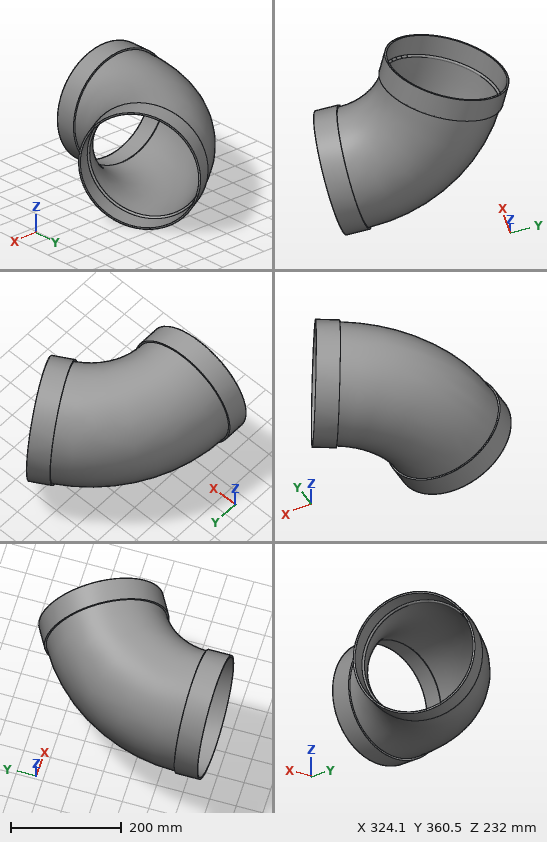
import cadquery as cq
import math

bend_angle = 60.0
socket_diameter = 232.0
pipe_diameter = 225.0
pipe_bore = 217.8
overall_length = 360.5

bend_radius = pipe_diameter

stop_round = (pipe_diameter - pipe_bore) / 2

angle = math.radians(bend_angle)
bend_rise = bend_radius * math.sin(angle)
rim_rise = socket_diameter / 2 * math.sin(angle)
socket_length = (overall_length - bend_rise - rim_rise) / (1 + math.cos(angle))

bend_end = (bend_radius * (1 - math.cos(angle)), bend_rise, 0)
inlet_plane = cq.Plane(origin=(0, 0, 0), xDir=(1, 0, 0), normal=(0, -1, 0))
outlet_plane = cq.Plane(
    origin=bend_end, xDir=(0, 0, 1), normal=(math.sin(angle), math.cos(angle), 0)
)


def bend(diameter):
    """Solid round bar swept about the vertical axis through the bend centre."""
    return (
        cq.Workplane("XZ")
        .circle(diameter / 2)
        .revolve(bend_angle, (bend_radius, 3.5, 0), (bend_radius, 0, 0))
    )


def socket_body(plane):
    """Solid bar running outwards from one end of the bend."""
    return cq.Workplane(plane).circle(socket_diameter / 2).extrude(socket_length)


def socket_cavity(plane):
    """Socket bore ending at a rounded stop, which leads into the pipe bore."""
    bore_radius = pipe_bore / 2
    socket_bore_radius = pipe_diameter / 2
    round_middle = (
        socket_bore_radius - stop_round * math.sqrt(0.5),
        stop_round * math.sqrt(0.5),
    )
    axial_plane = cq.Plane(origin=plane.origin, xDir=plane.xDir, normal=plane.xDir.cross(plane.zDir))
    return (
        cq.Workplane(axial_plane)
        .lineTo(bore_radius, 0)
        .threePointArc(round_middle, (socket_bore_radius, stop_round))
        .lineTo(socket_bore_radius, socket_length)
        .lineTo(0, socket_length)
        .close()
        .revolve(360, (0, 0, 0), (0, 1, 0))
    )


result = bend(pipe_diameter)
for end_plane in (inlet_plane, outlet_plane):
    result = result.union(socket_body(end_plane))

result = result.cut(bend(pipe_bore))
for end_plane in (inlet_plane, outlet_plane):
    result = result.cut(socket_cavity(end_plane))